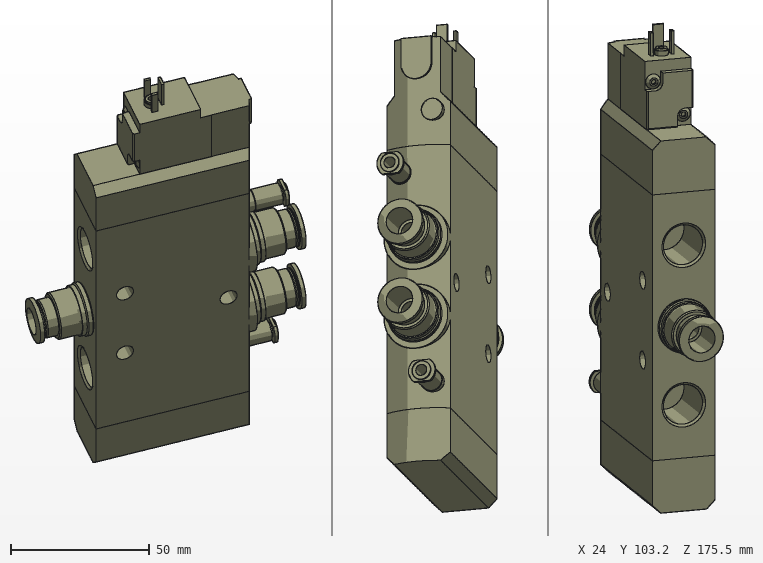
import cadquery as cq
import math


WIDTH = 24.0
HALF_WIDTH = WIDTH / 2
DEPTH = 61.5
BACK_RADIUS = 27.0
BLOCK_HEIGHT = 100.0
CAP_HEIGHT = 20.0
BLOCK_BOTTOM = CAP_HEIGHT
CAP_BOTTOM = BLOCK_BOTTOM + BLOCK_HEIGHT
VALVE_TOP = CAP_BOTTOM + CAP_HEIGHT
MID_Z = VALVE_TOP / 2
CAP_CHAMFER = 3.25

PORT_DIA = 14.95
PORT_MOUTH_DIA = 16.66
PORT_DEPTH = 22.0
EXHAUST_OFFSET = 30.0
MOUNT_HOLE_DIA = 6.5
MOUNT_HOLES = [(11.1, MID_Z - 15.0), (11.1, MID_Z + 15.0), (50.9, MID_Z)]

SEAT_Y = 62.0
SEAT_ROOT_DEPTH = 4.5
WORK_OFFSET = 15.0
WORK_SEAT_DIA = 24.2
PILOT_OFFSET_X = 6.0
PILOT_OFFSET_Z = 40.0
PILOT_SEAT_DIA = 8.0
OVERRIDE_Z = 133.2

ADAPTOR_WIDTH = WIDTH - 2 * CAP_CHAMFER
ADAPTOR_TOP = 161.0
TONGUE_DIA = 11.4
TONGUE_CENTRE_Z = 151.0
COIL_PROUD = 0.1
COIL_WIDTH = ADAPTOR_WIDTH + 2 * COIL_PROUD
COIL_HALF = COIL_WIDTH / 2
COIL_FRONT = 17.9
COIL_BACK = 45.5
COIL_STEP_Y = 41.3
COIL_TOP = 165.2
PLATE_FRONT = 15.3
PLATE_HEIGHT = ADAPTOR_TOP - VALVE_TOP
PLATE_MID_Z = VALVE_TOP + PLATE_HEIGHT / 2
SCREW_MID_Z = 150.8
PLATE_CHAMFER = 0.5
SCREW_X = 5.7
SCREW_Z = 6.6
SCREW_DIA = 5.6
SCREW_FACE_DIA = 3.1
SCREW_RISE = 0.9
SCREW_SOCKET_DIA = 1.8
SCREW_SOCKET_DEPTH = 1.5
SCREW_NOTCH_RADIUS = 2.85

CONNECTOR_Y = 25.3
NUT_DIA = 5.0
NUT_HEIGHT = 1.8
NUT_COLLAR_DIA = 4.13
NUT_COLLAR_HEIGHT = 2.6
NUT_HOLE_DIA = 2.0
SIDE_PIN_X = 4.0
SIDE_PIN_SIZE = (1.0, 2.3)
SIDE_PIN_TOP = 173.8
EARTH_PIN_Y = 29.2
EARTH_PIN_SIZE = (4.0, 1.0)
EARTH_PIN_TOP = 175.5

TUBE_FITTING_LENGTH = 20.6
BASE_RADIUS = 20.0 / 2
BASE_BEVEL = 0.4
BASE_END = 2.0
COLLAR_RADIUS = 19.0 / 2
COLLAR_START = 2.5
COLLAR_END = 4.2
SLEEVE_FOOT_RADIUS = 18.0 / 2
SLEEVE_RADIUS = 17.5 / 2
SLEEVE_START = 5.1
SLEEVE_END = 12.6
SLEEVE_BEVEL = 0.5
NECK_RADIUS = 14.3 / 2
GROOVE_RADIUS = 6.9
GROOVE_START = 16.6
GROOVE_MIDDLE = 17.1
GROOVE_END = 17.6
RING_RADIUS = 16.8 / 2
RING_STEM_RADIUS = 6.6
RING_STEM_START = 18.1
RING_START = 18.4
RING_SIDE_END = 20.0
RING_DOME_DROP = 0.2
MOUTH_RADIUS = 10.0 / 2
MOUTH_DEPTH = 15.0
TUBE_PASSAGE_DIA = 7.8

PILOT_FITTING_LENGTH = 13.2
PILOT_FITTING_BORE = 4.13
PILOT_FITTING_BORE_DEPTH = 10.0
PILOT_RING_FLATS = 8.0
PILOT_BODY_RADIUS = PILOT_SEAT_DIA / 2
PILOT_BASE_BEVEL = 0.2
PILOT_BODY_END = 10.6
PILOT_STEM_RADIUS = 5.6 / 2
PILOT_RING_RADIUS = 10.0 / 2
PILOT_RING_START = 11.4
PILOT_RING_END = 12.6
PILOT_LIP_RADIUS = 7.0 / 2


def bar_along_y(diameter, x, z, y_start, y_end):
    """Round bar parallel to Y between two depths."""
    plane = cq.Workplane("XZ", origin=(x, y_start, z))
    return plane.circle(diameter / 2).extrude(y_start - y_end)


def block_between(x_size, y_start, y_end, z_start, z_end, x=0.0):
    """Rectangular block centred on x."""
    size = (x_size, y_end - y_start, z_end - z_start)
    return cq.Workplane("XY", origin=(x, y_start, z_start)).box(*size, centered=(True, False, False))


def round_back_prism(half_width, z_start, z_end):
    """Upright prism with a flat front and the valve's rounded back."""
    side_y = DEPTH - BACK_RADIUS + math.sqrt(BACK_RADIUS**2 - half_width**2)
    outline = (
        cq.Workplane("XY", origin=(0, 0, z_start))
        .moveTo(-half_width, 0)
        .lineTo(half_width, 0)
        .lineTo(half_width, side_y)
        .threePointArc((0, DEPTH), (-half_width, side_y))
        .close()
    )
    return outline.extrude(z_end - z_start)


def back_seat(diameter, x, z):
    """Round seat growing out of the rounded back, trimmed to the valve width."""
    start_y = SEAT_Y - SEAT_ROOT_DEPTH
    seat = bar_along_y(diameter, x, z, start_y, SEAT_Y)
    return seat.intersect(block_between(WIDTH, 0, SEAT_Y, 0, VALVE_TOP))


def make_block():
    block = round_back_prism(HALF_WIDTH, BLOCK_BOTTOM, CAP_BOTTOM)
    for side in (-1, 1):
        block = block.union(back_seat(WORK_SEAT_DIA, 0, MID_Z + side * WORK_OFFSET))
        pilot_z = MID_Z + side * PILOT_OFFSET_Z
        block = block.union(back_seat(PILOT_SEAT_DIA, side * PILOT_OFFSET_X, pilot_z))
        block = block.cut(exhaust_port().translate((0, 0, MID_Z + side * EXHAUST_OFFSET)))
    mount_holes = (
        cq.Workplane("YZ", origin=(-HALF_WIDTH, 0, 0))
        .pushPoints(MOUNT_HOLES)
        .circle(MOUNT_HOLE_DIA / 2)
        .extrude(WIDTH)
    )
    return block.cut(mount_holes)


def exhaust_port():
    """Blind front port with a countersunk mouth, on the Y axis."""
    mouth_depth = (PORT_MOUTH_DIA - PORT_DIA) / 2
    return (
        cq.Workplane("XY")
        .polyline(
            [
                (0, 0),
                (PORT_MOUTH_DIA / 2, 0),
                (PORT_DIA / 2, mouth_depth),
                (PORT_DIA / 2, PORT_DEPTH),
                (0, PORT_DEPTH),
            ]
        )
        .close()
        .revolve(360, (0, 0, 0), (0, 1, 0))
    )


def make_bottom_cap():
    cap = round_back_prism(HALF_WIDTH, 0, CAP_HEIGHT)
    return cap.intersect(chamfered_envelope(0, CAP_HEIGHT, "<Z"))


def chamfered_envelope(z_start, z_end, face):
    """Block around a cap with its two long edges chamfered on one face."""
    envelope = block_between(WIDTH, 0, SEAT_Y, z_start, z_end)
    return envelope.faces(face).edges("|Y").chamfer(CAP_CHAMFER)


def make_top_cap():
    cap = round_back_prism(HALF_WIDTH, CAP_BOTTOM, VALVE_TOP)
    cap = cap.intersect(chamfered_envelope(CAP_BOTTOM, VALVE_TOP, ">Z"))
    cap = cap.union(back_seat(PILOT_SEAT_DIA, -PILOT_OFFSET_X, OVERRIDE_Z))
    return cap.union(pilot_adaptor()).union(coil()).union(cover_plate()).union(connector())


def pilot_adaptor():
    """Block behind the coil, with a round-ended tongue raised on its back."""
    adaptor = round_back_prism(ADAPTOR_WIDTH / 2, VALVE_TOP, ADAPTOR_TOP)
    adaptor = adaptor.intersect(block_between(WIDTH, COIL_BACK, SEAT_Y, VALVE_TOP, ADAPTOR_TOP))
    tongue = block_between(TONGUE_DIA, COIL_BACK, SEAT_Y, TONGUE_CENTRE_Z, ADAPTOR_TOP)
    tongue_end = bar_along_y(TONGUE_DIA, 0, TONGUE_CENTRE_Z, COIL_BACK, SEAT_Y)
    return adaptor.union(tongue).union(tongue_end)


def coil():
    """Coil case with a low ledge towards the adaptor."""
    case = block_between(COIL_WIDTH, COIL_FRONT, COIL_STEP_Y, VALVE_TOP, COIL_TOP)
    return case.union(block_between(COIL_WIDTH, COIL_STEP_Y, COIL_BACK, VALVE_TOP, ADAPTOR_TOP))


def cover_plate():
    """Front plate of the coil with two opposite corners cut away for screws."""
    plate = block_between(COIL_WIDTH, PLATE_FRONT, COIL_FRONT, VALVE_TOP, ADAPTOR_TOP)
    plate = plate.faces("<Y").edges("|Z or <Z").chamfer(PLATE_CHAMFER)
    notch_width = COIL_HALF - SCREW_X + SCREW_NOTCH_RADIUS
    for side in (-1, 1):
        screw_z = SCREW_MID_Z - side * SCREW_Z
        corner_z = PLATE_MID_Z - side * PLATE_HEIGHT / 2
        notch_height = abs(corner_z - screw_z) + SCREW_NOTCH_RADIUS
        notch = block_between(2 * notch_width, PLATE_FRONT, COIL_FRONT, -notch_height, notch_height)
        notch = notch.edges("|Y").fillet(SCREW_NOTCH_RADIUS)
        plate = plate.cut(notch.translate((side * COIL_HALF, 0, corner_z)))
        plate = plate.union(cover_screw().translate((side * SCREW_X, COIL_FRONT, screw_z)))
    return plate


def cover_screw():
    """Low conical screw head with a blind socket, its base at the origin, facing -Y."""
    head = turned([(SCREW_DIA / 2, 0), (SCREW_FACE_DIA / 2, -SCREW_RISE)])
    return head.cut(bar_along_y(SCREW_SOCKET_DIA, 0, 0, -SCREW_RISE, SCREW_SOCKET_DEPTH - SCREW_RISE))


def connector():
    """Two side pins, an earth pin and the screw nut on top of the coil."""
    nut = cq.Workplane("XY", origin=(0, CONNECTOR_Y, COIL_TOP)).circle(NUT_DIA / 2).extrude(NUT_HEIGHT)
    nut = nut.faces(">Z").workplane().circle(NUT_COLLAR_DIA / 2).extrude(NUT_COLLAR_HEIGHT - NUT_HEIGHT)
    parts = nut.faces(">Z").workplane().hole(NUT_HOLE_DIA, NUT_COLLAR_HEIGHT)
    pin_x, pin_y = SIDE_PIN_SIZE
    pin_start = CONNECTOR_Y - pin_y / 2
    for side in (-1, 1):
        pin = block_between(pin_x, pin_start, pin_start + pin_y, COIL_TOP, SIDE_PIN_TOP, side * SIDE_PIN_X)
        parts = parts.add(pin)
    earth_x, earth_y = EARTH_PIN_SIZE
    earth_start = EARTH_PIN_Y - earth_y / 2
    earth = block_between(earth_x, earth_start, earth_start + earth_y, COIL_TOP, EARTH_PIN_TOP)
    return parts.add(earth).combine()


def turned(outside):
    """Solid of revolution about Y from (radius, distance) points."""
    end = outside[-1][1]
    points = [(0, 0)] + outside + [(0, end)]
    return cq.Workplane("XY").polyline(points).close().revolve(360, (0, 0, 0), (0, 1, 0))


def make_tube_fitting():
    """Large push-in fitting, base at the origin and tube end towards +Y."""
    dome_middle = ((RING_RADIUS + MOUTH_RADIUS) / 2, TUBE_FITTING_LENGTH - RING_DOME_DROP)
    half_section = (
        cq.Workplane("XY")
        .moveTo(TUBE_PASSAGE_DIA / 2, 0)
        .lineTo(BASE_RADIUS - BASE_BEVEL, 0)
        .lineTo(BASE_RADIUS, BASE_BEVEL)
        .lineTo(BASE_RADIUS, BASE_END)
        .lineTo(COLLAR_RADIUS, COLLAR_START)
        .lineTo(COLLAR_RADIUS, COLLAR_END)
        .lineTo(SLEEVE_FOOT_RADIUS, COLLAR_END)
        .lineTo(SLEEVE_RADIUS, SLEEVE_START)
        .lineTo(SLEEVE_RADIUS, SLEEVE_END - SLEEVE_BEVEL)
        .lineTo(SLEEVE_RADIUS - SLEEVE_BEVEL, SLEEVE_END)
        .lineTo(NECK_RADIUS, SLEEVE_END)
        .lineTo(NECK_RADIUS, GROOVE_START)
        .lineTo(GROOVE_RADIUS, GROOVE_MIDDLE)
        .lineTo(NECK_RADIUS, GROOVE_END)
        .lineTo(NECK_RADIUS, RING_STEM_START)
        .lineTo(RING_STEM_RADIUS, RING_STEM_START)
        .lineTo(RING_STEM_RADIUS, RING_START)
        .lineTo(RING_RADIUS, RING_START)
        .lineTo(RING_RADIUS, RING_SIDE_END)
        .threePointArc(dome_middle, (MOUTH_RADIUS, TUBE_FITTING_LENGTH))
        .lineTo(MOUTH_RADIUS, TUBE_FITTING_LENGTH - MOUTH_DEPTH)
        .lineTo(TUBE_PASSAGE_DIA / 2, TUBE_FITTING_LENGTH - MOUTH_DEPTH)
        .close()
    )
    return half_section.revolve(360, (0, 0, 0), (0, 1, 0))


def make_pilot_fitting():
    """Small push-in fitting with two flats on its release ring."""
    body = turned(
        [
            (PILOT_BODY_RADIUS - PILOT_BASE_BEVEL, 0),
            (PILOT_BODY_RADIUS, PILOT_BASE_BEVEL),
            (PILOT_BODY_RADIUS, PILOT_BODY_END),
            (PILOT_STEM_RADIUS, PILOT_BODY_END),
            (PILOT_STEM_RADIUS, PILOT_RING_START),
            (PILOT_RING_RADIUS, PILOT_RING_START),
            (PILOT_RING_RADIUS, PILOT_RING_END),
            (PILOT_LIP_RADIUS, PILOT_RING_END),
            (PILOT_LIP_RADIUS, PILOT_FITTING_LENGTH),
        ]
    )
    flats = block_between(WIDTH, 0, PILOT_FITTING_LENGTH, -PILOT_RING_FLATS / 2, PILOT_RING_FLATS / 2)
    bore_start = PILOT_FITTING_LENGTH - PILOT_FITTING_BORE_DEPTH
    bore = bar_along_y(PILOT_FITTING_BORE, 0, 0, bore_start, PILOT_FITTING_LENGTH)
    return body.intersect(flats).cut(bore)


block = make_block()
bottom_cap = make_bottom_cap()
top_cap = make_top_cap()

supply_fitting = make_tube_fitting().rotate((0, 0, 0), (0, 0, 1), 180).translate((0, 0, MID_Z))
tube_fittings = [supply_fitting]
pilot_fittings = []
for side in (-1, 1):
    tube_fittings.append(make_tube_fitting().translate((0, SEAT_Y, MID_Z + side * WORK_OFFSET)))
    pilot_place = (side * PILOT_OFFSET_X, SEAT_Y, MID_Z + side * PILOT_OFFSET_Z)
    pilot_fittings.append(make_pilot_fitting().translate(pilot_place))

result = cq.Compound.makeCompound(
    [block.val(), bottom_cap.val(), top_cap.val()]
    + [fitting.val() for fitting in tube_fittings]
    + [fitting.val() for fitting in pilot_fittings]
)